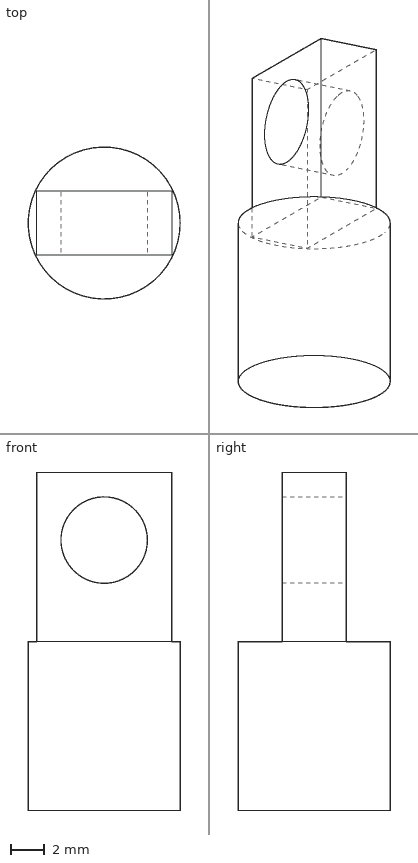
import cadquery as cq

shank_diameter = 9.0
shank_height = 10.0

tab_width = 8.0
tab_thickness = 3.8
tab_height = 10.0

eye_diameter = 5.1
overall_height = shank_height + tab_height
eye_center_height = overall_height - tab_width / 2


def make_shank():
    return cq.Workplane("XY").circle(shank_diameter / 2).extrude(shank_height)


def make_tab():
    return (
        cq.Workplane("XY")
        .workplane(offset=shank_height)
        .rect(tab_width, tab_thickness)
        .extrude(tab_height)
    )


def make_eye():
    """Cylinder along Y that cuts the eye through the full tab thickness."""
    return (
        cq.Workplane("XZ", origin=(0, tab_thickness / 2, 0))
        .center(0, eye_center_height)
        .circle(eye_diameter / 2)
        .extrude(tab_thickness)
    )


result = make_shank().union(make_tab()).cut(make_eye())